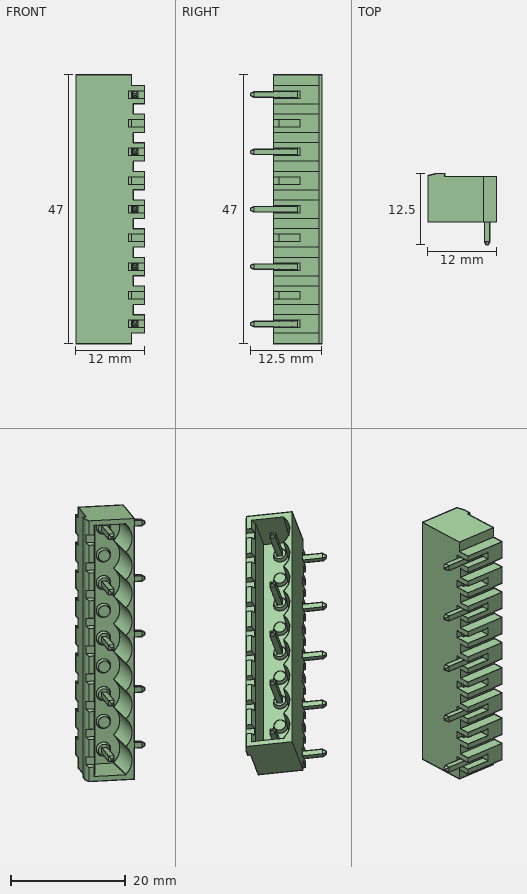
import cadquery as cq


length = 47.0
poles = 9
pitch = 5.0
first_pole = (length - (poles - 1) * pitch) / 2
pole_places = [first_pole + i * pitch for i in range(poles)]
pin_places = pole_places[::2]

body_depth = 9.75
body_height = 8.0
latch_depth = 2.95
latch_height = 8.5
lead_depth = 1.4
front_height = 8.15

cavity_depth = 8.45
end_wall = 0.9
cavity_top = 6.75
cavity_mouth_top = 7.25
scallop_radius = 3.4
scallop_mouth_bottom = 0.4
scallop_draft = 0.4

notch_depth = 1.05
notch_mouth_width = 1.85
notch_floor_width = 1.35

overall_depth = 12.0
tab_width = 3.25
web_thickness = 0.3
slot_width = 1.3
slot_height = 4.7
relief_start = 9.15
relief_height = 1.0

pin_size = 1.0
pin_height = 3.75
pin_start = 1.0
pin_leg_x = 10.35
pin_tail = 4.0
pin_tip_length = 0.6
pin_tip_size = 0.38
boss_base_diameter = 2.55
boss_top_diameter = 2.05
boss_length = 0.7


def box(x, y, z):
    """Box between the (low, high) limits along each axis."""
    sizes = [high - low for low, high in (x, y, z)]
    return cq.Workplane("XY").box(*sizes, centered=False).translate((x[0], y[0], z[0]))


def around(middle, width):
    """Limits of a width centred on a place."""
    return (middle - width / 2, middle + width / 2)


def make_body():
    """Housing block with the raised, sloped latch rim along its top front edge."""
    outline = [
        (0, 0),
        (body_depth, 0),
        (body_depth, body_height),
        (latch_depth, body_height),
        (latch_depth, latch_height),
        (lead_depth, latch_height),
        (0, front_height),
    ]
    return cq.Workplane("XY").polyline(outline).close().extrude(length)


def cavity_outline(bottom):
    """Cavity section in the YZ plane: flat top and ends, one arc per pole at the bottom."""
    half_pitch = pitch / 2
    cusp = bottom + scallop_radius - (scallop_radius**2 - half_pitch**2) ** 0.5
    outline = cq.Workplane("YZ").moveTo(cavity_top, end_wall).lineTo(cusp, end_wall)
    outline = outline.lineTo(cusp, first_pole - half_pitch)
    for place in pole_places:
        outline = outline.threePointArc((bottom, place), (cusp, place + half_pitch))
    outline = outline.lineTo(cusp, length - end_wall).lineTo(cavity_top, length - end_wall)
    return outline.close().val()


def make_cavity():
    """Cavity with drafted scallops and a sloped lead-in along its top."""
    mouth = cavity_outline(scallop_mouth_bottom)
    floor = cavity_outline(scallop_mouth_bottom + scallop_draft).translate((cavity_depth, 0, 0))
    cavity = cq.Workplane(cq.Solid.makeLoft([mouth, floor], True))
    lead_outline = [
        (0, pin_height),
        (0, cavity_mouth_top),
        (lead_depth, cavity_top),
        (lead_depth, pin_height),
    ]
    lead_in = (
        cq.Workplane("XY", origin=(0, 0, end_wall))
        .polyline(lead_outline)
        .close()
        .extrude(length - 2 * end_wall)
    )
    return cavity.union(lead_in)


def make_notch(place):
    """Coding notch through the latch wall, narrowing towards its floor."""
    outline = [
        (0, place - notch_mouth_width / 2),
        (0, place + notch_mouth_width / 2),
        (notch_depth, place + notch_floor_width / 2),
        (notch_depth, place - notch_floor_width / 2),
    ]
    notch = cq.Workplane("XZ").polyline(outline).close().extrude(cavity_top - latch_height)
    return notch.translate((0, cavity_top, 0))


def make_tab(place):
    """Full-height tab on the back of the housing."""
    return box((body_depth, overall_depth), (0, body_height), around(place, tab_width))


def make_pin_slot(place):
    """Slot that splits a tab from below, with a shallow relief under the housing."""
    slot = box((body_depth, overall_depth), (0, slot_height), around(place, slot_width))
    relief = box((relief_start, overall_depth), (0, relief_height), around(place, slot_width))
    return slot.union(relief)


def make_boss(place):
    """Conical boss on the cavity floor."""
    return cq.Workplane(
        cq.Solid.makeCone(
            boss_base_diameter / 2,
            boss_top_diameter / 2,
            boss_length,
            cq.Vector(cavity_depth, pin_height, place),
            cq.Vector(-1, 0, 0),
        )
    )


def make_tip(plane, base):
    """Tapered end of a pin, growing along the normal of the plane."""
    return (
        cq.Workplane(plane, origin=base)
        .rect(pin_size, pin_size)
        .workplane(offset=pin_tip_length)
        .rect(pin_tip_size, pin_tip_size)
        .loft()
    )


def make_pin(place):
    """Square right-angle pin with a tapered tip at both ends."""
    contact_base = pin_start + pin_tip_length
    tail_base = pin_tip_length - pin_tail
    across = around(place, pin_size)
    contact = box((contact_base, pin_leg_x + pin_size / 2), around(pin_height, pin_size), across)
    leg = box(around(pin_leg_x, pin_size), (tail_base, pin_height), across)
    contact_tip = make_tip("ZY", (contact_base, pin_height, place))
    tail_tip = make_tip("XZ", (pin_leg_x, tail_base, place))
    return contact.union(leg).union(contact_tip).union(tail_tip)


result = make_body().cut(make_cavity())

web_span = (first_pole, length - first_pole)
result = result.union(box((body_depth, body_depth + web_thickness), (0, body_height), web_span))

for pole in pole_places:
    result = result.cut(make_notch(pole))
    result = result.union(make_tab(pole)).cut(make_pin_slot(pole))
    result = result.union(make_boss(pole))

for pole in pin_places:
    result = result.union(make_pin(pole))